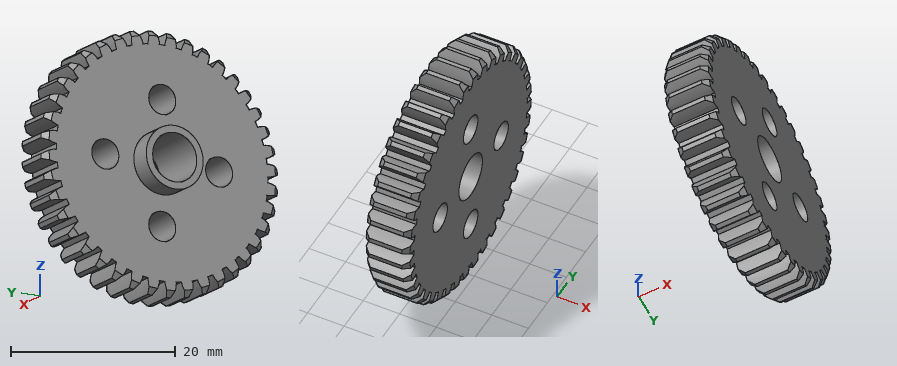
import cadquery as cq
import math

MM_PER_INCH = 25.4
DIAMETRAL_PITCH = 32
MODULE = MM_PER_INCH / DIAMETRAL_PITCH
TEETH = 40
PRESSURE_ANGLE = math.radians(20)
DEDENDUM_FACTOR = 1.25
FLANK_STEPS = 4

PITCH_RADIUS = MODULE * TEETH / 2
BASE_RADIUS = PITCH_RADIUS * math.cos(PRESSURE_ANGLE)
TIP_RADIUS = PITCH_RADIUS + MODULE
ROOT_RADIUS = PITCH_RADIUS - DEDENDUM_FACTOR * MODULE

GEAR_WIDTH = 6.0
TOOTH_CHAMFER = 0.75
HUB_LENGTH = 3.0
HUB_DIAMETER = 8.0
BORE_DIAMETER = 6.2
HOLE_DIAMETER = 3.8
HOLE_COUNT = 4
HOLE_CIRCLE_RADIUS = 8.0


def polar(radius, angle):
    """Point in the YZ plane, with the angle measured from +Y towards +Z."""
    return radius * math.cos(angle), radius * math.sin(angle)


def involute(angle):
    return math.tan(angle) - angle


def half_tooth_angle(radius):
    """Angle from a tooth's centre line to its flank: involute, but radial inside the base circle."""
    flank_pressure_angle = math.acos(min(1.0, BASE_RADIUS / radius))
    half_angle_at_pitch = math.pi / (2 * TEETH)
    return half_angle_at_pitch + involute(PRESSURE_ANGLE) - involute(flank_pressure_angle)


def gear_blank():
    """Toothed disc; a tooth gap is centred on each of the Y and Z axes."""
    pitch_angle = 2 * math.pi / TEETH
    step = (TIP_RADIUS - ROOT_RADIUS) / FLANK_STEPS
    flank_radii = [ROOT_RADIUS + i * step for i in range(FLANK_STEPS + 1)]
    root_half_angle = half_tooth_angle(ROOT_RADIUS)

    outline = cq.Workplane("YZ").moveTo(*polar(ROOT_RADIUS, pitch_angle / 2 - root_half_angle))
    for tooth in range(TEETH):
        centre = (tooth + 0.5) * pitch_angle
        rising = [polar(r, centre - half_tooth_angle(r)) for r in flank_radii]
        falling = [polar(r, centre + half_tooth_angle(r)) for r in reversed(flank_radii)]
        gap_middle = polar(ROOT_RADIUS, centre + pitch_angle / 2)
        next_root = polar(ROOT_RADIUS, centre + pitch_angle - root_half_angle)

        outline = outline.spline(rising[1:], includeCurrent=True)
        outline = outline.threePointArc(polar(TIP_RADIUS, centre), falling[0])
        outline = outline.spline(falling[1:], includeCurrent=True)
        outline = outline.threePointArc(gap_middle, next_root)
    return outline.close().extrude(GEAR_WIDTH)


def chamfer_envelope():
    """Disc with chamfered rims that bevels both ends of every tooth tip."""
    disc = cq.Workplane("YZ").circle(TIP_RADIUS).extrude(GEAR_WIDTH)
    return disc.edges().chamfer(TOOTH_CHAMFER)


def hub():
    return cq.Workplane("YZ").circle(HUB_DIAMETER / 2).extrude(-HUB_LENGTH)


def through_holes():
    """Cutters for the central bore and the ring of lightening holes."""
    start = cq.Workplane("YZ", origin=(-HUB_LENGTH, 0, 0))
    length = HUB_LENGTH + GEAR_WIDTH
    bore = start.circle(BORE_DIAMETER / 2).extrude(length)
    ring = start.polarArray(HOLE_CIRCLE_RADIUS, 0, 360, HOLE_COUNT)
    return bore.union(ring.circle(HOLE_DIAMETER / 2).extrude(length))


result = gear_blank().intersect(chamfer_envelope()).union(hub()).cut(through_holes())